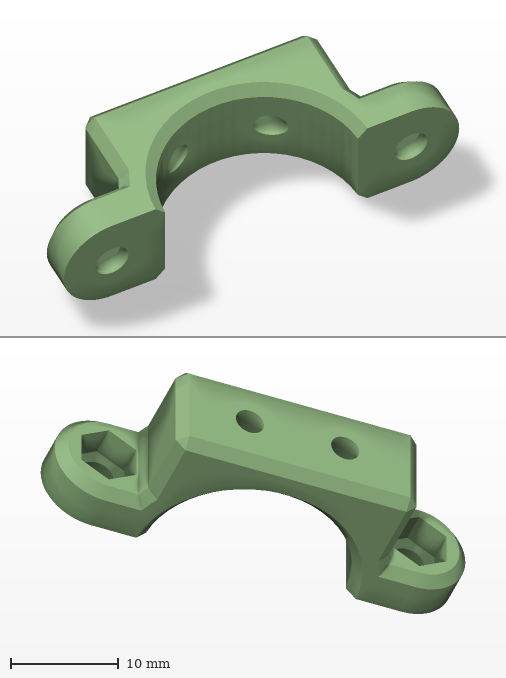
import cadquery as cq

height = 10.0
length = 41.0
chamfer = 1.0
bore_radius = 10.0
collar_radius = 13.5
block_face = -14.0
ear_face = -5.0
mating_face = -0.5
block_width = 24.03
ear_hole_diameter = 3.4
nut_across_flats = 5.5
nut_depth = 3.0
mount_hole_diameter = 2.8
mount_hole_places = (-4.5, 5.0)

ear_spacing = length - height
nut_across_corners = nut_across_flats / (3 ** 0.5 / 2)
face_plane = cq.Workplane("YZ")


def chamfered_block():
    """Block reaching from the outer face to the bore axis."""
    depth = -block_face
    block = cq.Workplane("XY").box(depth, block_width, height)
    block = block.translate((block_face + depth / 2, 0, 0))
    return block.edges("<X or (|X and (>Z or <Z))").chamfer(chamfer)


def chamfered_collar():
    """Disc around the bore that flares the block into the ears."""
    collar = cq.Workplane("XY").circle(collar_radius).extrude(height / 2, both=True)
    return collar.edges("%CIRCLE").chamfer(chamfer)


def chamfered_ears():
    """Round-ended bar that forms both ears."""
    bar = face_plane.workplane(offset=ear_face).slot2D(length, height).extrude(mating_face - ear_face)
    return bar.faces("<X").edges().chamfer(chamfer)


def chamfered_bore():
    """Bore cutter that widens at both ends."""
    mouth_radius = bore_radius + chamfer
    half = height / 2
    profile = [
        (0, -half),
        (mouth_radius, -half),
        (bore_radius, -half + chamfer),
        (bore_radius, half - chamfer),
        (mouth_radius, half),
        (0, half),
    ]
    return cq.Workplane("XZ").polyline(profile).close().revolve(360, (0, 0), (0, 1))


def ear_fasteners():
    """Through hole and hexagonal nut pocket for each ear."""
    centres = [(-ear_spacing / 2, 0), (ear_spacing / 2, 0)]
    start = face_plane.workplane(offset=ear_face).pushPoints(centres)
    holes = start.circle(ear_hole_diameter / 2).extrude(mating_face - ear_face)
    for y, z in centres:
        pocket = cq.Workplane("YZ").polygon(6, nut_across_corners).extrude(nut_depth)
        pocket = pocket.rotate((0, 0, 0), (1, 0, 0), 90).translate((ear_face, y, z))
        holes = holes.union(pocket)
    return holes


def mount_holes():
    """Holes from the outer face of the block into the bore."""
    centres = [(y, 0) for y in mount_hole_places]
    start = face_plane.workplane(offset=block_face).pushPoints(centres)
    return start.circle(mount_hole_diameter / 2).extrude(-block_face)


body = chamfered_block().union(chamfered_collar())
beyond_split = cq.Workplane("XY").box(length, length, height).translate((mating_face + length / 2, 0, 0))
body = body.cut(beyond_split).union(chamfered_ears())
result = body.cut(chamfered_bore()).cut(ear_fasteners()).cut(mount_holes())